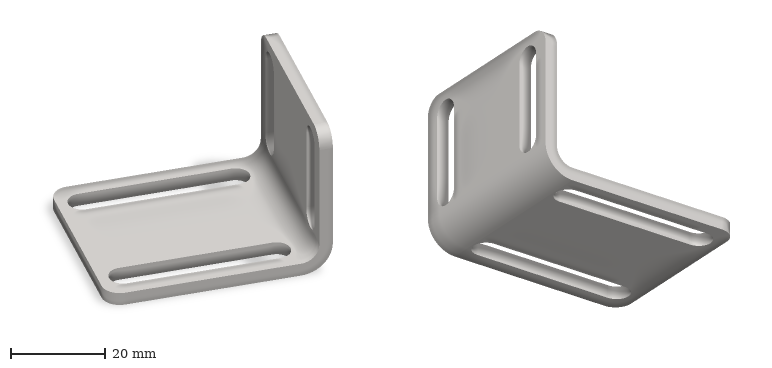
import cadquery as cq

width = 43.0
depth = 50.0
height = 35.0
thickness = 3.0

inner_bend_radius = 4.0
outer_bend_radius = inner_bend_radius + thickness
corner_radius = 4.0

slot_width = 6.2
slot_spacing = 30.0
slot_end_inset = 5.5
base_slot_travel = 34.0
wall_slot_travel = 19.0


def bent_sheet():
    """L profile in the YZ plane, centred across the width, with a rounded bend."""
    profile = (
        cq.Workplane("YZ")
        .polyline([
            (0, 0),
            (depth, 0),
            (depth, height),
            (depth - thickness, height),
            (depth - thickness, thickness),
            (0, thickness),
        ])
        .close()
    )
    sheet = profile.extrude(width / 2, both=True)
    inner_edge = cq.selectors.NearestToPointSelector((0, depth - thickness, thickness))
    outer_edge = cq.selectors.NearestToPointSelector((0, depth, 0))
    sheet = sheet.edges(inner_edge).fillet(inner_bend_radius)
    return sheet.edges(outer_edge).fillet(outer_bend_radius)


def slot_pair(plane, travel, cut_depth):
    """Two parallel slots running away from the free edge of a leg."""
    slot_middle = slot_end_inset + travel / 2
    return (
        cq.Workplane(plane)
        .pushPoints([(side * slot_spacing / 2, slot_middle) for side in (-1, 1)])
        .slot2D(travel + slot_width, slot_width, angle=90)
        .extrude(cut_depth)
    )


base_plane = cq.Plane(origin=(0, 0, 0), xDir=(1, 0, 0), normal=(0, 0, 1))
wall_plane = cq.Plane(origin=(0, depth - thickness, height), xDir=(1, 0, 0), normal=(0, 1, 0))

bracket = bent_sheet()
bracket = bracket.faces("<Y").edges("|Z").fillet(corner_radius)
bracket = bracket.faces(">Z").edges("|Y").fillet(corner_radius)
bracket = bracket.cut(slot_pair(base_plane, base_slot_travel, thickness))
bracket = bracket.cut(slot_pair(wall_plane, wall_slot_travel, thickness))

result = bracket